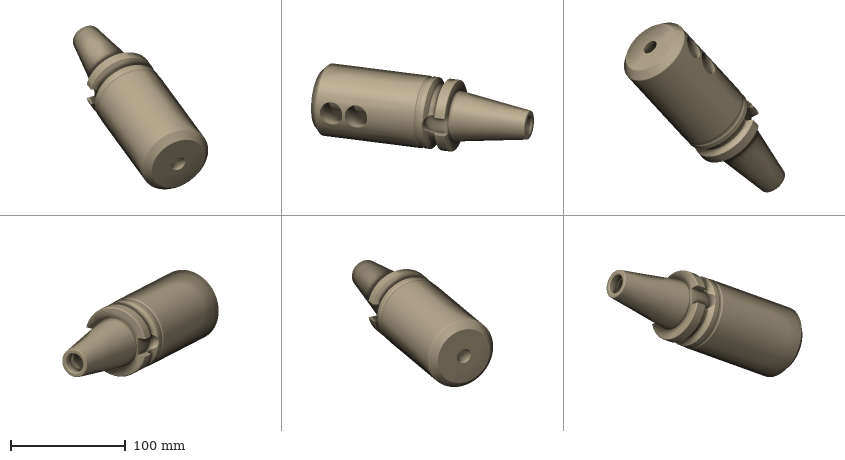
import cadquery as cq
import math

TOTAL_LENGTH = 192.4
GAUGE_X = 65.4
FLANGE_FACE_X = GAUGE_X + 2.0
BODY_DIA = 63.5

GAUGE_DIA = 44.45
TAPER_RATIO = 7 / 24
TAPER_TIP_DIA = GAUGE_DIA - TAPER_RATIO * GAUGE_X
TAPER_TIP_FILLET = 1.0
NECK_DIA = 44.0
NECK_START_X = GAUGE_X + 1.0
NECK_FILLET = 0.6

FLANGE_DIA = 63.0
FLANGE_EDGE_FILLET = 1.0
V_CENTER_X = GAUGE_X + 16.55
V_FLOOR_DIA = 52.4
V_FLOOR_WIDTH = 4.6
V_FLANK_ANGLE = 30.0

RELIEF_DIA = 62.0
RELIEF_START_X = 91.1
RELIEF_END_X = 96.1
RELIEF_FLANK_LENGTH = 1.75
RELIEF_RIM_SHARE = 0.65

NOSE_CHAMFER = 6.4
NOSE_OUTER_FILLET = 1.0
NOSE_FACE_FILLET = 0.6

PILOT_DIA = 17.0
PILOT_DEPTH = 8.2
PILOT_CHAMFER_DEPTH = 1.0
PILOT_CHAMFER_LENGTH = 0.6
PILOT_GROOVE_DIA = 17.6
PILOT_GROOVE_START_X = 5.9
PASSAGE_DIA = 13.5

SLOT_WIDTH = 16.1
SLOT_FLOOR_Y = 22.5
SLOT_END_X = 88.2

SCREW_HOLE_DIA = 20.5
SCREW_HOLE_XS = (148.7, 171.6)


def ring_selector(x, radius):
    """Select the circular edge of the given radius around the axis at x."""
    margin = 0.05
    outer = radius + margin
    return cq.selectors.BoxSelector(
        (x - margin, -outer, -outer), (x + margin, outer, outer), boundingbox=True
    )


def turned_blank():
    """Revolve the outer profile: taper, neck, flange, relief groove and body."""
    body_r = BODY_DIA / 2
    flange_r = FLANGE_DIA / 2
    tip_r = TAPER_TIP_DIA / 2
    neck_r = NECK_DIA / 2
    relief_r = RELIEF_DIA / 2
    v_floor_r = V_FLOOR_DIA / 2
    v_floor_half = V_FLOOR_WIDTH / 2
    v_top_half = v_floor_half + (flange_r - v_floor_r) * math.tan(math.radians(V_FLANK_ANGLE))

    floor_start_x = RELIEF_START_X + RELIEF_FLANK_LENGTH
    floor_end_x = RELIEF_END_X - RELIEF_FLANK_LENGTH
    front_join = (
        RELIEF_START_X + RELIEF_RIM_SHARE * RELIEF_FLANK_LENGTH,
        flange_r + RELIEF_RIM_SHARE * (relief_r - flange_r),
    )
    rear_join = (
        RELIEF_END_X - RELIEF_RIM_SHARE * RELIEF_FLANK_LENGTH,
        body_r + RELIEF_RIM_SHARE * (relief_r - body_r),
    )

    profile = (
        cq.Workplane("XY")
        .lineTo(0, tip_r)
        .lineTo(GAUGE_X, GAUGE_DIA / 2)
        .lineTo(NECK_START_X, neck_r)
        .lineTo(FLANGE_FACE_X, neck_r)
        .lineTo(FLANGE_FACE_X, flange_r)
        .lineTo(V_CENTER_X - v_top_half, flange_r)
        .lineTo(V_CENTER_X - v_floor_half, v_floor_r)
        .lineTo(V_CENTER_X + v_floor_half, v_floor_r)
        .lineTo(V_CENTER_X + v_top_half, flange_r)
        .lineTo(RELIEF_START_X, flange_r)
        .tangentArcPoint(front_join, relative=False)
        .tangentArcPoint((floor_start_x, relief_r), relative=False)
        .lineTo(floor_end_x, relief_r)
        .tangentArcPoint(rear_join, relative=False)
        .tangentArcPoint((RELIEF_END_X, body_r), relative=False)
        .lineTo(TOTAL_LENGTH - NOSE_CHAMFER, body_r)
        .lineTo(TOTAL_LENGTH, body_r - NOSE_CHAMFER)
        .lineTo(TOTAL_LENGTH, 0)
        .close()
    )
    blank = profile.revolve(360, (0, 0, 0), (1, 0, 0))
    fillets = [
        (0, tip_r, TAPER_TIP_FILLET),
        (FLANGE_FACE_X, neck_r, NECK_FILLET),
        (FLANGE_FACE_X, flange_r, FLANGE_EDGE_FILLET),
        (TOTAL_LENGTH - NOSE_CHAMFER, body_r, NOSE_OUTER_FILLET),
        (TOTAL_LENGTH, body_r - NOSE_CHAMFER, NOSE_FACE_FILLET),
    ]
    for x, edge_r, fillet_r in fillets:
        blank = blank.edges(ring_selector(x, edge_r)).fillet(fillet_r)
    return blank


def axial_passage():
    """Through passage with a chamfered, grooved pilot bore at the taper end."""
    pilot_r = PILOT_DIA / 2
    groove_r = PILOT_GROOVE_DIA / 2
    passage_r = PASSAGE_DIA / 2
    profile = [
        (0, 0),
        (0, pilot_r + PILOT_CHAMFER_DEPTH),
        (PILOT_CHAMFER_LENGTH, pilot_r),
        (PILOT_GROOVE_START_X, pilot_r),
        (PILOT_GROOVE_START_X, groove_r),
        (PILOT_DEPTH, groove_r),
        (PILOT_DEPTH, passage_r),
        (TOTAL_LENGTH, passage_r),
        (TOTAL_LENGTH, 0),
    ]
    return cq.Workplane("XY").polyline(profile).close().revolve(360, (0, 0, 0), (1, 0, 0))


def drive_slot(side):
    """Round-ended slot open through the flange face; side is -1 or +1 along Y."""
    radius = SLOT_WIDTH / 2
    arc_x = SLOT_END_X - radius
    depth = BODY_DIA / 2 - SLOT_FLOOR_Y
    return (
        cq.Workplane("XZ", origin=(0, side * SLOT_FLOOR_Y, 0))
        .moveTo(FLANGE_FACE_X, -radius)
        .lineTo(arc_x, -radius)
        .threePointArc((SLOT_END_X, 0), (arc_x, radius))
        .lineTo(FLANGE_FACE_X, radius)
        .close()
        .extrude(-side * depth)
    )


def screw_hole(x):
    """Radial clamping screw hole from the +Y side down to the axis."""
    return cq.Workplane("XZ", origin=(x, 0, 0)).circle(SCREW_HOLE_DIA / 2).extrude(-BODY_DIA / 2)


result = turned_blank().cut(axial_passage())
for slot_side in (-1, 1):
    result = result.cut(drive_slot(slot_side))
for hole_x in SCREW_HOLE_XS:
    result = result.cut(screw_hole(hole_x))